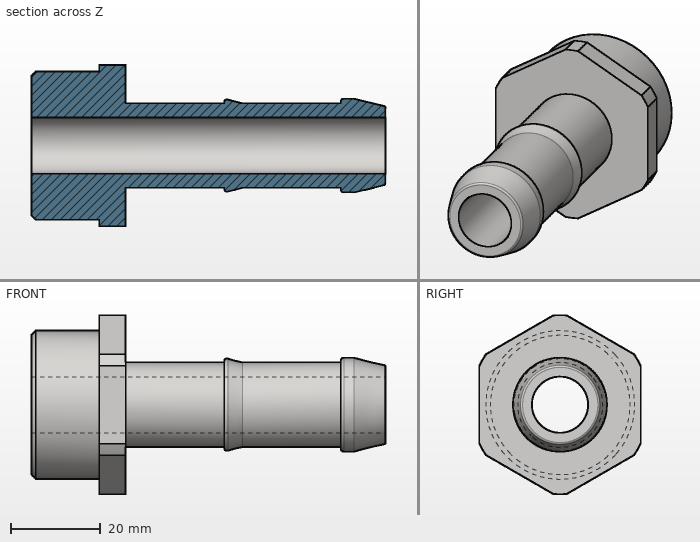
import cadquery as cq

total_length = 79.0

collar_diameter = 33.2
collar_length = 15.1
collar_chamfer = 1.0

hex_across_flats = 36.0
hex_corner_diameter = 40.0
hex_thickness = 5.9

stem_diameter = 18.95
bore_diameter = 12.5

middle_barb_start = 43.0
middle_barb_length = 4.0
middle_barb_diameter = 21.0
middle_barb_edge_radius = 0.6

end_barb_start = 69.0
end_barb_diameter = 21.0
end_barb_land_end = 71.9
end_barb_edge_radius = 0.7
tip_diameter = 17.5
tip_edge_radius = 0.5


def cylinder(diameter, start, end):
    """Cylinder on the X axis between two X positions."""
    return cq.Workplane("YZ").workplane(offset=start).circle(diameter / 2).extrude(end - start)


def revolve_about_x(profile):
    return profile.close().revolve(360, (0, 0, 0), (1, 0, 0))


def make_collar():
    return cylinder(collar_diameter, 0, collar_length).faces("<X").chamfer(collar_chamfer)


def make_hexagon():
    hexagon = (
        cq.Workplane("YZ")
        .workplane(offset=collar_length)
        .polygon(6, hex_across_flats, circumscribed=True)
        .extrude(hex_thickness)
    )
    corner_limit = cylinder(hex_corner_diameter, collar_length, collar_length + hex_thickness)
    return hexagon.intersect(corner_limit)


def make_middle_barb():
    end = middle_barb_start + middle_barb_length
    profile = (
        cq.Workplane("XY")
        .moveTo(middle_barb_start, 0)
        .lineTo(middle_barb_start, middle_barb_diameter / 2)
        .lineTo(end, stem_diameter / 2)
        .lineTo(end, 0)
    )
    return revolve_about_x(profile).edges("<X").fillet(middle_barb_edge_radius)


def make_end_barb():
    profile = (
        cq.Workplane("XY")
        .moveTo(end_barb_start, 0)
        .lineTo(end_barb_start, end_barb_diameter / 2)
        .lineTo(end_barb_land_end, end_barb_diameter / 2)
        .lineTo(total_length, tip_diameter / 2)
        .lineTo(total_length, 0)
    )
    barb = revolve_about_x(profile)
    barb = barb.edges("<X").fillet(end_barb_edge_radius)
    return barb.edges(">X").fillet(tip_edge_radius)


body = make_collar().union(make_hexagon())
body = body.union(cylinder(stem_diameter, collar_length, end_barb_land_end))
body = body.union(make_middle_barb()).union(make_end_barb())
result = body.cut(cylinder(bore_diameter, 0, total_length))